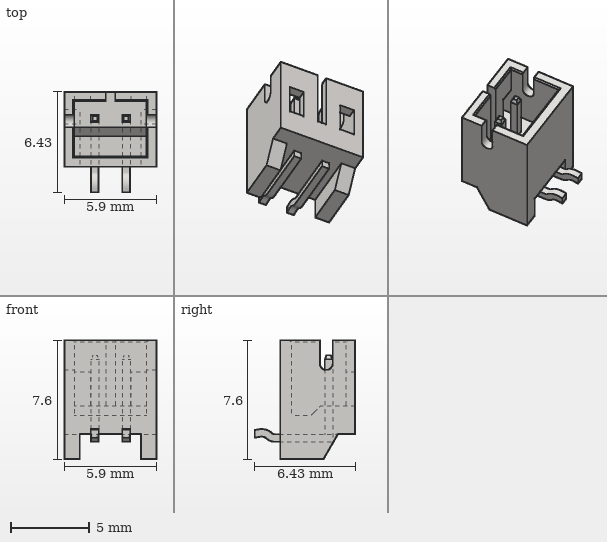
import cadquery as cq
import math

WIDTH = 5.9
DEPTH = 4.8
HEIGHT = 7.6
SIDE_WALL = 0.65
FRONT_WALL = 0.7
BACK_WALL = 0.6
RIM_CHAMFER = 0.1

FOOT_HEIGHT = 1.6
FOOT_WIDTH = 1.0
FOOT_TOP_LENGTH = 3.7
FOOT_SLOPE_ANGLE = 60
FOOT_BOTTOM_LENGTH = FOOT_TOP_LENGTH - FOOT_HEIGHT / math.tan(math.radians(FOOT_SLOPE_ANGLE))

BACK_FLOOR_Z = 3.4
FRONT_FLOOR_Z = 2.8
SLOPE_TOP_Y = 2.55
SLOPE_BOTTOM_Y = SLOPE_TOP_Y - (BACK_FLOOR_Z - FRONT_FLOOR_Z)

KEY_SLOT_WIDTH = 0.6
NOTCH_WIDTH = 0.8
NOTCH_BOTTOM_Z = 5.7
NOTCH_Y = 2.95
WINDOW_WIDTH = 1.0
WINDOW_TOP_Z = 5.6

PIN_PITCH = 2.0
PIN_SIZE = 0.5
PIN_Y = 3.1
PIN_TOP_Z = 6.65
TIP_HEIGHT = 0.28
TIP_INSET = 0.11
TAIL_STRAIGHT = 0.35
TAIL_REACH = 1.63
RISE_ANGLE = 43
DROP_ANGLE = 10
LOWER_BEND_RADIUS = 0.26
UPPER_BEND_RADIUS = 0.47

CAVITY_WIDTH = WIDTH - 2 * SIDE_WALL
CAVITY_BACK_Y = DEPTH - BACK_WALL
PIN_POSITIONS = [-PIN_PITCH / 2, PIN_PITCH / 2]


def box(x_min, x_max, y_min, y_max, z_min, z_max):
    size = (x_max - x_min, y_max - y_min, z_max - z_min)
    return cq.Workplane("XY").box(*size, centered=False).translate((x_min, y_min, z_min))


def side_profile(points, width):
    """Closed (y, z) outline extruded symmetrically about x = 0."""
    return cq.Workplane("YZ").polyline(points).close().extrude(width / 2, both=True)


def make_shell():
    outline = [
        (0, 0),
        (FOOT_BOTTOM_LENGTH, 0),
        (FOOT_TOP_LENGTH, FOOT_HEIGHT),
        (DEPTH, FOOT_HEIGHT),
        (DEPTH, HEIGHT),
        (0, HEIGHT),
    ]
    gap = WIDTH / 2 - FOOT_WIDTH
    return side_profile(outline, WIDTH).cut(box(-gap, gap, 0, DEPTH, 0, FOOT_HEIGHT))


def make_cavity():
    outline = [
        (FRONT_WALL, FRONT_FLOOR_Z),
        (SLOPE_BOTTOM_Y, FRONT_FLOOR_Z),
        (SLOPE_TOP_Y, BACK_FLOOR_Z),
        (CAVITY_BACK_Y, BACK_FLOOR_Z),
        (CAVITY_BACK_Y, HEIGHT),
        (FRONT_WALL, HEIGHT),
    ]
    return side_profile(outline, CAVITY_WIDTH)


def make_key_slot():
    half = KEY_SLOT_WIDTH / 2
    return box(-half, half, CAVITY_BACK_Y, DEPTH, BACK_FLOOR_Z, HEIGHT)


def make_side_notch():
    """Round-bottomed notch cut down from the rim through both side walls."""
    radius = NOTCH_WIDTH / 2
    arc_z = NOTCH_BOTTOM_Z + radius
    return (
        cq.Workplane("YZ")
        .moveTo(NOTCH_Y - radius, HEIGHT)
        .lineTo(NOTCH_Y - radius, arc_z)
        .threePointArc((NOTCH_Y, NOTCH_BOTTOM_Z), (NOTCH_Y + radius, arc_z))
        .lineTo(NOTCH_Y + radius, HEIGHT)
        .close()
        .extrude(WIDTH / 2, both=True)
    )


def make_back_window(side):
    """Opening in the back wall next to a side wall; side is -1 or 1."""
    outer_x = side * CAVITY_WIDTH / 2
    inner_x = outer_x - side * WINDOW_WIDTH
    x_min, x_max = sorted((inner_x, outer_x))
    return box(x_min, x_max, CAVITY_BACK_Y, DEPTH, BACK_FLOOR_Z, WINDOW_TOP_Z)


def make_pin(x):
    """Bent pin: vertical contact post with a tapered tip, and an S-bent tail."""
    bottom = FOOT_HEIGHT - PIN_SIZE
    half = PIN_SIZE / 2
    post = box(x - half, x + half, PIN_Y - half, PIN_Y + half, bottom, PIN_TOP_Z - TIP_HEIGHT)
    taper = math.degrees(math.atan2(TIP_INSET, TIP_HEIGHT))
    tip = (
        cq.Workplane("XY", origin=(x, PIN_Y, PIN_TOP_Z - TIP_HEIGHT))
        .rect(PIN_SIZE, PIN_SIZE)
        .extrude(TIP_HEIGHT, taper=taper)
    )
    return post.union(tip).union(make_tail(x))


def make_tail(x):
    """Tail running forward under the housing, then bending up and levelling past the front face."""
    rise = math.radians(RISE_ANGLE)
    drop = math.radians(DROP_ANGLE)
    bottom = FOOT_HEIGHT - PIN_SIZE
    lower_y = -TAIL_STRAIGHT
    lower_z = FOOT_HEIGHT + LOWER_BEND_RADIUS
    centre_distance = LOWER_BEND_RADIUS + PIN_SIZE + UPPER_BEND_RADIUS
    upper_y = lower_y - centre_distance * math.sin(rise)
    upper_z = lower_z - centre_distance * math.cos(rise)

    def on_lower(radius, angle):
        return (lower_y - radius * math.sin(angle), lower_z - radius * math.cos(angle))

    def on_upper(radius, angle):
        return (upper_y - radius * math.sin(angle), upper_z + radius * math.cos(angle))

    def end_point(start):
        return (-TAIL_REACH, start[1] - (TAIL_REACH + start[0]) * math.tan(drop))

    inner_low = LOWER_BEND_RADIUS
    outer_low = LOWER_BEND_RADIUS + PIN_SIZE
    inner_up = UPPER_BEND_RADIUS
    outer_up = UPPER_BEND_RADIUS + PIN_SIZE
    crest = (drop - rise) / 2
    return (
        cq.Workplane("YZ", origin=(x, 0, 0))
        .moveTo(PIN_Y, FOOT_HEIGHT)
        .lineTo(-TAIL_STRAIGHT, FOOT_HEIGHT)
        .threePointArc(on_lower(inner_low, rise / 2), on_lower(inner_low, rise))
        .threePointArc(on_upper(outer_up, crest), on_upper(outer_up, drop))
        .lineTo(*end_point(on_upper(outer_up, drop)))
        .lineTo(*end_point(on_upper(inner_up, drop)))
        .lineTo(*on_upper(inner_up, drop))
        .threePointArc(on_upper(inner_up, crest), on_upper(inner_up, -rise))
        .threePointArc(on_lower(outer_low, rise / 2), on_lower(outer_low, 0))
        .lineTo(PIN_Y, bottom)
        .close()
        .extrude(PIN_SIZE / 2, both=True)
    )


def make_rim_chamfer():
    """Flared mouth of the cavity."""
    mouth_depth = CAVITY_BACK_Y - FRONT_WALL
    mouth_y = (CAVITY_BACK_Y + FRONT_WALL) / 2
    grow = 2 * RIM_CHAMFER
    return (
        cq.Workplane("XY", origin=(0, mouth_y, HEIGHT))
        .rect(CAVITY_WIDTH + grow, mouth_depth + grow)
        .workplane(offset=-RIM_CHAMFER)
        .rect(CAVITY_WIDTH, mouth_depth)
        .loft(ruled=True)
    )


pins = [make_pin(x) for x in PIN_POSITIONS]

housing = make_shell().cut(make_cavity()).cut(make_rim_chamfer())
housing = housing.cut(make_key_slot()).cut(make_side_notch())
for side in (-1, 1):
    housing = housing.cut(make_back_window(side))
for pin in pins:
    housing = housing.cut(pin)

result = cq.Compound.makeCompound([housing.val()] + [pin.val() for pin in pins])